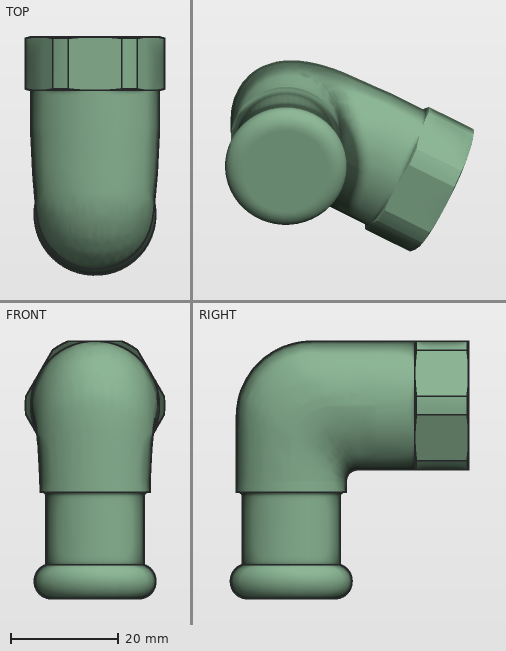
import cadquery as cq
import math


overall_height = 48.0

body_radius = 12.0
body_start_y = 15.9
nut_sides = 6
nut_flats = 2 * body_radius
nut_corner_diameter = 25.95
nut_start_y = 23.05
nut_end_y = 33.0
nut_chamfer_radial = 0.9
nut_chamfer_axial = 0.3

pipe_radius = 18.3 / 2
collar_radius = 20.5 / 2
collar_top_z = -14.15
collar_bottom_z = -16.15
neck_fillet_radius = 0.65
bead_radius = 22.65 / 2
bead_round = 3.25
pipe_end_z = body_radius - overall_height

outer_bend_radius = 14.15
inner_bend_radius = 2.0
bend_half_width_start = 11.6
bend_half_width_end = 10.55
sections_per_stretch = 6


def blend(start, end, fraction):
    """Value at a fraction of the way from start to end."""
    return start + fraction * (end - start)


def edge_point(bend_radius, turn_centre, straight_start, straight_end, station):
    """
    Point (y, z) on one edge of the elbow: straight for stations 0 to 1,
    a quarter turn for 1 to 2 and straight again for 2 to 3.
    """
    angle = math.radians(90 + 90 * min(max(station - 1, 0), 1))
    y = turn_centre[0] + bend_radius * math.cos(angle)
    z = turn_centre[1] + bend_radius * math.sin(angle)
    if station < 1:
        y = blend(straight_start, y, station)
    elif station > 2:
        z = blend(z, straight_end, station - 2)
    return y, z


def elbow_section(station):
    """Elliptical wire spanning from the outer to the inner edge of the elbow."""
    outer_centre = (outer_bend_radius - collar_radius, body_radius - outer_bend_radius)
    inner_centre = (collar_radius + inner_bend_radius, -body_radius - inner_bend_radius)
    outer = edge_point(outer_bend_radius, outer_centre, body_start_y, collar_top_z, station)
    inner = edge_point(inner_bend_radius, inner_centre, body_start_y, collar_top_z, station)
    dy = outer[0] - inner[0]
    dz = outer[1] - inner[1]
    half_widths = (body_radius, bend_half_width_start, bend_half_width_end, collar_radius)
    stretch = min(int(station), len(half_widths) - 2)
    half_width = blend(half_widths[stretch], half_widths[stretch + 1], station - stretch)
    middle = ((outer[0] + inner[0]) / 2, (outer[1] + inner[1]) / 2)
    plane = cq.Plane(origin=(0, *middle), xDir=(1, 0, 0), normal=(0, dz, -dy))
    return cq.Workplane(plane).ellipse(half_width, math.hypot(dy, dz) / 2).val()


def make_elbow():
    """Tapered quarter bend blending from the round body to the smaller round collar."""
    stretches = 3
    section_count = stretches * sections_per_stretch
    sections = [elbow_section(step / sections_per_stretch) for step in range(section_count + 1)]
    return cq.Workplane(cq.Solid.makeLoft(sections))


def make_nut():
    """Round body and hexagonal nut whose corners are turned down and chamfered at both ends."""
    corner_radius = nut_corner_diameter / 2
    chamfer_radius = corner_radius - nut_chamfer_radial
    hexagon = (
        cq.Workplane("XZ", origin=(0, nut_start_y, 0))
        .polygon(nut_sides, nut_flats / math.cos(math.pi / nut_sides))
        .extrude(nut_start_y - nut_end_y)
    )
    turned_blank = (
        cq.Workplane("XY")
        .moveTo(0, nut_start_y)
        .lineTo(chamfer_radius, nut_start_y)
        .lineTo(corner_radius, nut_start_y + nut_chamfer_axial)
        .lineTo(corner_radius, nut_end_y - nut_chamfer_axial)
        .lineTo(chamfer_radius, nut_end_y)
        .lineTo(0, nut_end_y)
        .close()
        .revolve(360, (0, 0, 0), (0, 1, 0))
    )
    body = (
        cq.Workplane("XZ", origin=(0, body_start_y, 0))
        .circle(body_radius)
        .extrude(body_start_y - nut_start_y)
    )
    return hexagon.intersect(turned_blank).union(body)


def make_press_end():
    """Collar, filleted neck, pipe and rounded end bead turned about Z."""
    diagonal = math.sqrt(0.5)
    neck_radius = pipe_radius + neck_fillet_radius
    neck_bottom_z = collar_bottom_z - neck_fillet_radius
    neck_middle = (
        neck_radius - neck_fillet_radius * diagonal,
        neck_bottom_z + neck_fillet_radius * diagonal,
    )
    bead_flat_radius = bead_radius - bead_round
    bead_middle_z = pipe_end_z + bead_round
    bead_top_z = bead_middle_z + math.sqrt(bead_round**2 - (pipe_radius - bead_flat_radius) ** 2)
    return (
        cq.Workplane("XZ")
        .moveTo(0, collar_top_z)
        .lineTo(collar_radius, collar_top_z)
        .lineTo(collar_radius, collar_bottom_z)
        .lineTo(neck_radius, collar_bottom_z)
        .threePointArc(neck_middle, (pipe_radius, neck_bottom_z))
        .lineTo(pipe_radius, bead_top_z)
        .threePointArc((bead_radius, bead_middle_z), (bead_flat_radius, pipe_end_z))
        .lineTo(0, pipe_end_z)
        .close()
        .revolve(360, (0, 0, 0), (0, 1, 0))
    )


result = make_elbow().union(make_nut()).union(make_press_end())